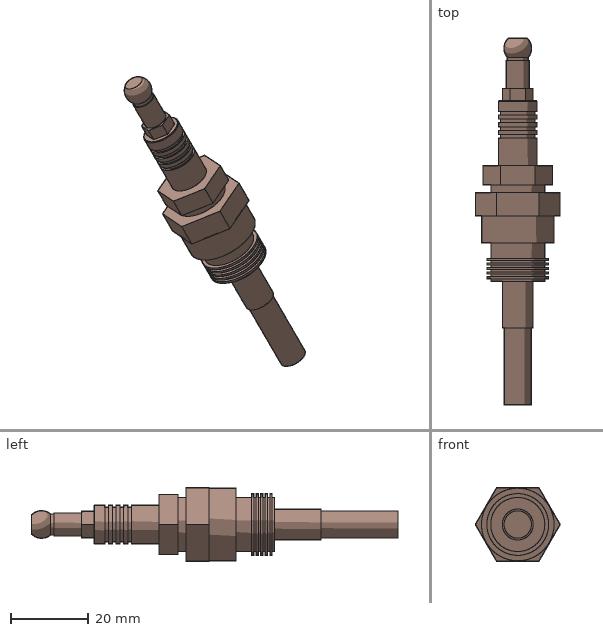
import cadquery as cq
import math

TOTAL_LENGTH = 94.94

BALL_DIAMETER = 7.2
BALL_TIP_DIAMETER = 4.9
STUD_NECK_DIAMETER = 5.5
STUD_DIAMETER = 6.0
STUD_START = 5.85

STUD_HEX_CORNERS = 8.0
STUD_HEX_START = 13.0
LOCK_NUT_CORNERS = 18.0
LOCK_NUT_START = 33.0
LOCK_NUT_END = 38.0
BODY_HEX_CORNERS = 22.0
BODY_HEX_START = 40.0
BODY_HEX_END = 46.0

SLEEVE_DIAMETER = 10.0
SLEEVE_START = 16.15
SLEEVE_CHAMFER = 0.2
SLEEVE_GROOVE_DIAMETER = 9.0
SLEEVE_GROOVE_START = 19.0
SLEEVE_GROOVE_WIDTH = 0.9
SLEEVE_GROOVE_PITCH = 2.0
SLEEVE_GROOVE_COUNT = 4

COLLAR_DIAMETER = 18.8
COLLAR_END = 53.0
CORE_DIAMETER = 14.0
THREAD_DIAMETER = 16.0
THREAD_START = 57.0
CORE_END = 63.0
THREAD_RING_COUNT = 5
THREAD_RING_WIDTH = 0.59
THREAD_RING_PITCH = 2 * THREAD_RING_WIDTH

ROD_DIAMETER = 8.0
ROD_STEP = 75.0
ROD_TIP_DIAMETER = 7.1


def cylinder(diameter, start, end):
    """Cylinder on the Y axis between two stations."""
    return (
        cq.Workplane("XZ", origin=(0, TOTAL_LENGTH - start, 0))
        .circle(diameter / 2)
        .extrude(end - start)
    )


def hexagon(corners, start, end):
    """Hexagonal prism on the Y axis between two stations."""
    return (
        cq.Workplane("XZ", origin=(0, TOTAL_LENGTH - start, 0))
        .polygon(6, corners)
        .extrude(end - start)
    )


def ball_stud():
    """Flat-tipped ball, its undercut neck, the shank and the small hexagon."""
    radius = BALL_DIAMETER / 2
    tip_radius = BALL_TIP_DIAMETER / 2
    neck_radius = STUD_NECK_DIAMETER / 2
    center_station = math.sqrt(radius**2 - tip_radius**2)
    neck_station = center_station + math.sqrt(radius**2 - neck_radius**2)
    ball = (
        cq.Workplane("XY")
        .moveTo(0, TOTAL_LENGTH)
        .lineTo(tip_radius, TOTAL_LENGTH)
        .threePointArc(
            (radius, TOTAL_LENGTH - center_station),
            (neck_radius, TOTAL_LENGTH - neck_station),
        )
        .lineTo(neck_radius, TOTAL_LENGTH - STUD_START)
        .lineTo(0, TOTAL_LENGTH - STUD_START)
        .close()
        .revolve(360, (0, 0), (0, 1))
    )
    shank = cylinder(STUD_DIAMETER, STUD_START, STUD_HEX_START)
    stud_hex = hexagon(STUD_HEX_CORNERS, STUD_HEX_START, SLEEVE_START)
    return ball.union(shank).union(stud_hex)


def grooved_sleeve():
    """Sleeve with a small chamfer at the stud end and evenly spaced ring grooves."""
    sleeve = (
        cylinder(SLEEVE_DIAMETER, SLEEVE_START, LOCK_NUT_START)
        .faces(">Y")
        .chamfer(SLEEVE_CHAMFER)
    )
    for index in range(SLEEVE_GROOVE_COUNT):
        start = SLEEVE_GROOVE_START + index * SLEEVE_GROOVE_PITCH
        end = start + SLEEVE_GROOVE_WIDTH
        groove = cylinder(SLEEVE_DIAMETER, start, end).cut(
            cylinder(SLEEVE_GROOVE_DIAMETER, start, end)
        )
        sleeve = sleeve.cut(groove)
    return sleeve


def plug_body():
    """Lock nut, hexagon and collar on a common core."""
    core = cylinder(CORE_DIAMETER, LOCK_NUT_START, CORE_END)
    lock_nut = hexagon(LOCK_NUT_CORNERS, LOCK_NUT_START, LOCK_NUT_END)
    body_hex = hexagon(BODY_HEX_CORNERS, BODY_HEX_START, BODY_HEX_END)
    collar = cylinder(COLLAR_DIAMETER, BODY_HEX_END, COLLAR_END)
    return core.union(lock_nut).union(body_hex).union(collar)


def thread_rings():
    """Equal rings separated by gaps of the same width, leaving the core bare at its end."""
    rings = cq.Workplane("XZ")
    for index in range(THREAD_RING_COUNT):
        start = THREAD_START + index * THREAD_RING_PITCH
        rings = rings.union(cylinder(THREAD_DIAMETER, start, start + THREAD_RING_WIDTH))
    return rings


def probe_rod():
    """Plain rod with a slimmer tip."""
    rod = cylinder(ROD_DIAMETER, CORE_END, ROD_STEP)
    tip = cylinder(ROD_TIP_DIAMETER, ROD_STEP, TOTAL_LENGTH)
    return rod.union(tip)


result = (
    plug_body()
    .union(thread_rings())
    .union(grooved_sleeve())
    .union(ball_stud())
    .union(probe_rod())
)